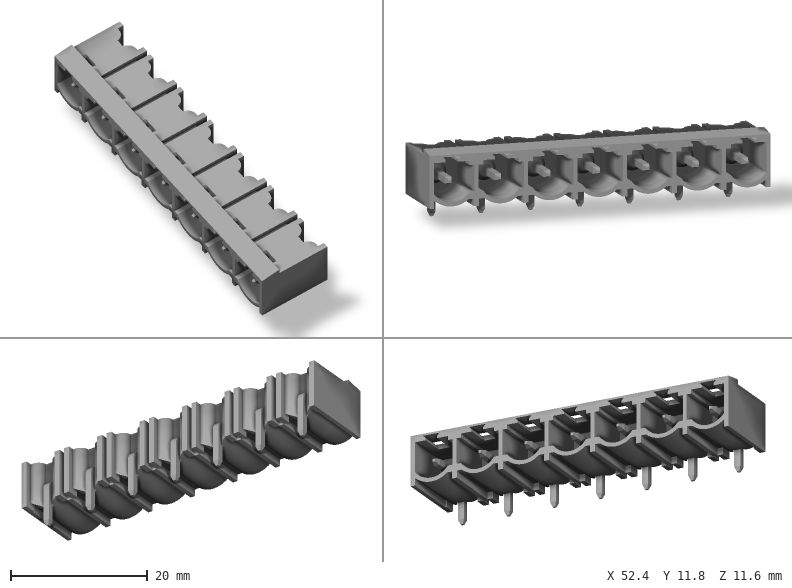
import cadquery as cq
import math


pin_count = 7
pitch = 7.6
cell_gap = 0.8
cell_half = (pitch - cell_gap) / 2
length = pin_count * pitch - cell_gap
pin_xs = [(i - (pin_count - 1) / 2) * pitch for i in range(pin_count)]
gap_xs = [(i - (pin_count - 2) / 2) * pitch for i in range(pin_count - 1)]

foot_z = 3.2
base_z = 4.3
pin_z = 7.0
top_z = 10.8
ridge_front_z = 11.15
ridge_back_z = 11.6

depth = 11.75
ridge_depth = 3.1
web_back = 9.75
rear_face = 10.7

wall = 0.65
socket_back = 8.2
roof = 0.8
socket_top = top_z - roof
slot_floor = socket_top
shoulder_z = slot_floor - wall
socket_half = 2.75
wing_half = (pitch - wall) / 2
belly_axis_z = 7.35
belly_radius = 3.35
ledge_z = belly_axis_z - math.sqrt(belly_radius**2 - socket_half**2)

notch_depth = 4.1
notch_top_half = 1.35
notch_bottom_half = 0.95
notch_bevel = notch_top_half - notch_bottom_half

fin_inner = 2.5
scallop_radius = 1.45
scallop_axis_x = 2.15

boss_base_radius = 1.75
boss_top_radius = 1.05
boss_height = 1.45
boss_rounding = 0.3

pin_width = 1.0
pin_front = 0.75
tail_front = 9.4
bend_radius = 1.3
contact_tip = 1.1
tail_tip = 0.75
tip_width = 0.4


def block(x0, x1, y0, y1, z0, z1):
    """Box between two opposite corners."""
    return cq.Workplane("XY").box(x1 - x0, y1 - y0, z1 - z0, centered=False).translate((x0, y0, z0))


def rod(x, z, radius, y0, y1):
    """Cylinder along Y."""
    return cq.Workplane("XZ", origin=(x, y0, z)).circle(radius).extrude(y0 - y1)


def make_shell():
    """Solid outside of the housing: bar, ridge, rear cell blocks, round bellies and feet."""
    half = length / 2
    end_wall = cell_half - socket_half
    shell = block(-half, half, 0, web_back, base_z, top_z)

    ridge = (
        cq.Workplane("YZ", origin=(-half, 0, 0))
        .polyline([(0, base_z), (0, ridge_front_z), (ridge_depth, ridge_back_z), (ridge_depth, base_z)])
        .close()
        .extrude(length)
    )
    shell = shell.union(ridge)

    for x in pin_xs:
        shell = shell.union(block(x - cell_half, x + cell_half, web_back, depth, base_z, top_z))
        belly = rod(x, belly_axis_z, belly_radius + wall, 0, depth)
        lower_cell = block(x - cell_half, x + cell_half, 0, depth, foot_z, belly_axis_z)
        shell = shell.union(belly.intersect(lower_cell))
        for x0, x1 in ((x - cell_half, x - fin_inner), (x + fin_inner, x + cell_half)):
            shell = shell.union(block(x0, x1, web_back, depth, foot_z, top_z))

    for x in gap_xs:
        shell = shell.union(block(x - cell_gap / 2, x + cell_gap / 2, 0, web_back, foot_z, base_z))
    for x0 in (-half, half - end_wall):
        shell = shell.union(block(x0, x0 + end_wall, 0, depth, foot_z, top_z))
    return shell


def make_socket(x):
    """Socket space: flat-topped box, wings beside the inner walls, round belly, coding notch."""
    socket = block(x - socket_half, x + socket_half, 0, socket_back, ledge_z, socket_top)
    belly = rod(x, belly_axis_z, belly_radius, 0, socket_back)
    socket = socket.union(
        belly.intersect(block(x - socket_half, x + socket_half, 0, socket_back, foot_z, belly_axis_z))
    )
    wing_left = socket_half if x == pin_xs[0] else wing_half
    wing_right = socket_half if x == pin_xs[-1] else wing_half
    socket = socket.union(block(x - wing_left, x + wing_right, 0, socket_back, ledge_z, shoulder_z))
    notch = (
        cq.Workplane("XZ", origin=(x, 0, 0))
        .polyline([
            (-notch_bottom_half, socket_top),
            (-notch_bottom_half, top_z - notch_bevel),
            (-notch_top_half, top_z),
            (notch_top_half, top_z),
            (notch_bottom_half, top_z - notch_bevel),
            (notch_bottom_half, socket_top),
        ])
        .close()
        .extrude(-notch_depth)
    )
    return socket.union(notch)


def make_boss(x):
    """Rounded cone on the socket's back wall."""
    boss = cq.Workplane("XY").add(
        cq.Solid.makeCone(
            boss_base_radius,
            boss_top_radius,
            boss_height,
            pnt=cq.Vector(x, socket_back, pin_z),
            dir=cq.Vector(0, -1, 0),
        )
    )
    return boss.faces("<Y").edges().fillet(boss_rounding)


def make_rear_recess(x):
    """Upright recess behind a cell: flat at the fins, then rounded shoulders down to the tail."""
    axis_y = rear_face - scallop_radius
    floor_half = scallop_axis_x - math.sqrt(scallop_radius**2 - (tail_front - axis_y) ** 2)
    mid_step = scallop_radius * math.sin(math.radians(45))
    mid = (scallop_axis_x - mid_step, axis_y + mid_step)
    return (
        cq.Workplane("XY", origin=(x, 0, 0))
        .moveTo(-fin_inner, depth)
        .lineTo(-fin_inner, rear_face)
        .lineTo(-scallop_axis_x, rear_face)
        .threePointArc((-mid[0], mid[1]), (-floor_half, tail_front))
        .lineTo(floor_half, tail_front)
        .threePointArc(mid, (scallop_axis_x, rear_face))
        .lineTo(fin_inner, rear_face)
        .lineTo(fin_inner, depth)
        .close()
        .extrude(ridge_back_z)
    )


def make_tip(workplane, tip_length):
    """Tapered pin end on a workplane that faces out of the pin."""
    return workplane.rect(pin_width, pin_width).workplane(offset=tip_length).rect(tip_width, tip_width).loft()


def make_pin(x):
    """Square pin: straight contact along Y, rounded bend and tail down, both ends tapered."""
    half = pin_width / 2
    tail_y = tail_front + half
    contact_start = pin_front + contact_tip
    contact = block(x - half, x + half, contact_start, tail_front + pin_width, pin_z - half, pin_z + half)
    tail = block(x - half, x + half, tail_front, tail_front + pin_width, tail_tip, pin_z + half)
    pin = contact.union(tail)
    pin = pin.edges("|X and >Y and >Z").fillet(bend_radius)
    pin = pin.union(make_tip(cq.Workplane("XZ", origin=(x, contact_start, pin_z)), contact_tip))
    tail_end = cq.Workplane("XY", origin=(x, tail_y, tail_tip)).transformed(rotate=(180, 0, 0))
    return pin.union(make_tip(tail_end, tail_tip))


def make_housing():
    """Housing with its sockets, bosses, slots, rear recesses and pin holes."""
    half = pin_width / 2
    housing = make_shell()
    for x in gap_xs:
        housing = housing.cut(
            block(x - cell_gap / 2, x + cell_gap / 2, ridge_depth, web_back, slot_floor, ridge_back_z)
        )
    for x in pin_xs:
        housing = housing.cut(make_socket(x)).union(make_boss(x))
        housing = housing.cut(make_rear_recess(x))
        housing = housing.cut(block(x - half, x + half, 0, depth, pin_z - half, pin_z + half))
    return housing


housing = make_housing()
pins = [make_pin(x) for x in pin_xs]

result = cq.Compound.makeCompound([housing.val(), *[pin.val() for pin in pins]])